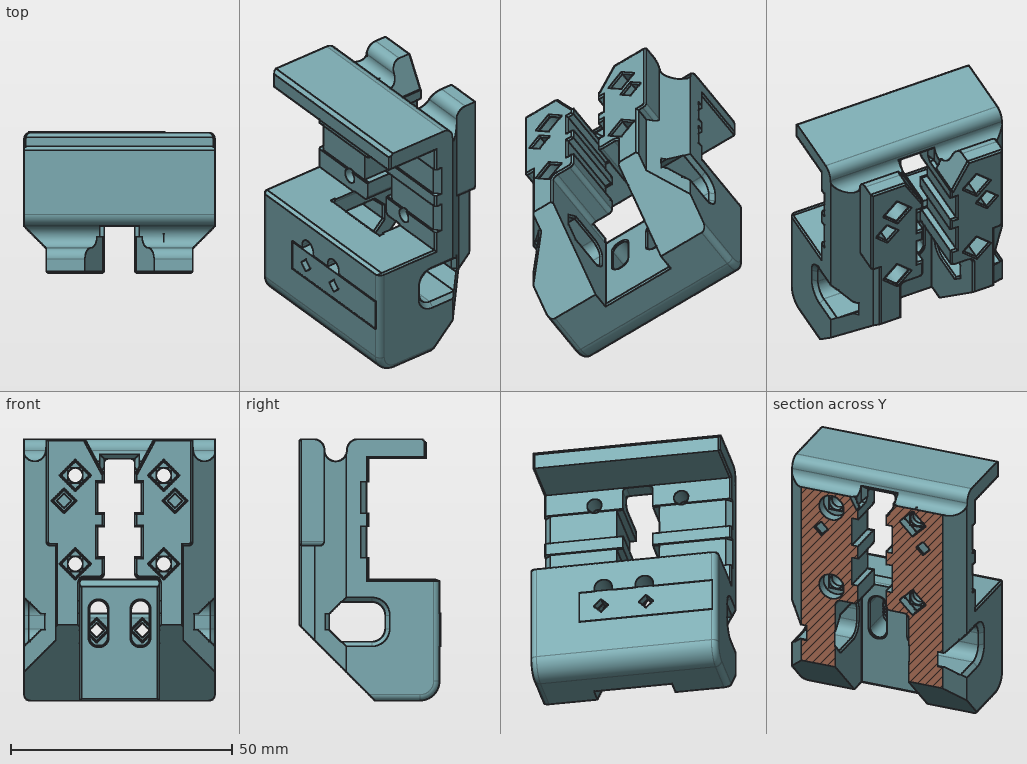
import cadquery as cq
import math

WIDTH = 43.2
HEIGHT = 59.15
HALF_WIDTH = WIDTH / 2
EDGE = 0.4

WALL_BACK = 15.7
BOX_BACK = 31.8
BOX_TOP = 27.45
BOX_CORNER = 4.55
BOX_ROUND = 1.4
BOX_TOP_BEVEL = 1.05
ARM_BACK = 28.7
ARM_BOTTOM = 54.8
ARM_BEVEL = 0.9
FOOT_SLOPE = 17.15
GROOVE_FRONT = 5.75
GROOVE_BACK = 10.75
GROOVE_RADIUS = (GROOVE_BACK - GROOVE_FRONT) / 2

FLANK_BACK = 10.65
UPPER_RAIL_HALF = 16.55
LOWER_RAIL_HALF = 14.45
RAIL_STEP_Z = 35.0
RAIL_STEP_ROUND = 1.0

WINDOW_HALF = 3.45
WINDOW_TOP = 54.7
WINDOW_ROUND = 0.8
WINDOW_FLARE = 1.05
WINDOW_FOOT_ROUND = 1.05
NOTCH_HALF = 4.9
NOTCH_HEIGHT = 6.75
NOTCH_MIDDLES = (35.9, 45.9)
STRAP_WIDTH = 7.1
STRAP_DEPTH = 0.4
STRAP_BEVEL = 1.35
VEE_TOP_HALF = 7.8
VEE_BOTTOM_HALF = 3.8
VEE_BOTTOM_Z = 51.65

RECESS_HALF = 9.0
RECESS_TOP = 27.75
RECESS_ROUND = 1.2
PLATE_FRONT = 20.7
PLATE_TOP = 26.15
PLATE_TOP_BEVEL = 1.2
SLOT_SPACING = 9.45
SLOT_DIAMETER = 4.1
SLOT_BOTTOM = 12.35
SLOT_TOP = 22.65
SLOT_BEVEL = 0.3

TUNNEL_FRONT = 6.8
TUNNEL_BACK = 19.4
TUNNEL_BOTTOM = 13.4
TUNNEL_TOP = 22.3
TUNNEL_BEVEL = 2.65
TUNNEL_ROUND = 2.95
TUNNEL_FLARE = 1.05
FLANK_LIP_FRONT = 5.9

BAR_LEFT = -20.5
BAR_RIGHT = 10.25
BAR_BOTTOM = 12.3
BAR_TOP = 19.75
BAR_FRONT = 28.4
BAR_BACK = 32.0
BAR_ROUND = 0.95
BAR_HOLE_SPACING = 10.35
BAR_HOLE_Z = 15.9

SCREW_SPACING = 20.0
SCREW_LOWER_Z = 30.95
SCREW_DIAMETER = 3.4
HEAD_DIAMETER = 6.0
SCREW_DIAMOND = 3.2
HEAD_DEPTH = 8.9
MOUTH_DEPTH = 0.6
WASHER_THICKNESS = 1.8
WASHER_SQUARE = 3.5
WASHER_SQUARE_DEPTH = 0.3

SMALL_DIAMOND = 2.4
INNER_DIAMOND = 1.65
BLIND_X = 12.55
BLIND_Z = 45.2
BLIND_DEPTH = 5.9
STEP_DEPTH = 1.2

SCREW_CENTRES = [
    (side * SCREW_SPACING / 2, z)
    for side in (-1, 1)
    for z in (SCREW_LOWER_Z, SCREW_LOWER_Z + SCREW_SPACING)
]


def box(x_range, y_range, z_range):
    """Axis-aligned block given by its limits."""
    sizes = [high - low for low, high in (x_range, y_range, z_range)]
    corner = (x_range[0], y_range[0], z_range[0])
    return cq.Workplane("XY").box(*sizes, centered=False).translate(corner)


def front_plane(y):
    """Workplane at depth y whose sketch runs in X and Z and extrudes backwards."""
    return cq.Workplane(cq.Plane(origin=(0, y, 0), xDir=(1, 0, 0), normal=(0, -1, 0)))


def diamond(centre, y, half_diagonal, depth):
    """Diamond prism running backwards from depth y."""
    x, z = centre
    points = [
        (x - half_diagonal, z),
        (x, z - half_diagonal),
        (x + half_diagonal, z),
        (x, z + half_diagonal),
    ]
    return front_plane(y).polyline(points).close().extrude(-depth)


def diamond_bevel(centre, y, half_diagonal):
    """Chamfer cutter for the mouth of a diamond hole, EDGE wider at its tips."""
    x, z = centre
    wide = (half_diagonal + EDGE) * math.sqrt(2)
    narrow = half_diagonal * math.sqrt(2)
    plane = cq.Plane(origin=(x, y, z), xDir=(1, 0, 1), normal=(0, 1, 0))
    return cq.Workplane(plane).rect(wide, wide).workplane(offset=EDGE).rect(narrow, narrow).loft()


def round_bore(centre, y, diameter, depth):
    """Cylinder running backwards from depth y."""
    return front_plane(y).center(*centre).circle(diameter / 2).extrude(-depth)


def stepped_diamond(centre, y, outer_depth, inner_depth):
    """Bevelled diamond pocket with a smaller diamond in its floor."""
    outer = diamond(centre, y, SMALL_DIAMOND, outer_depth)
    inner = diamond(centre, y, INNER_DIAMOND, outer_depth + inner_depth)
    return outer.union(inner).union(diamond_bevel(centre, y, SMALL_DIAMOND))


def side_profile():
    """Wall, arm and box as one outline extruded over the full width."""
    groove_middle = (GROOVE_BACK + GROOVE_FRONT) / 2
    groove_z = HEIGHT - GROOVE_RADIUS
    lip_front = GROOVE_FRONT - GROOVE_RADIUS
    arc_short = GROOVE_RADIUS * (1 - math.sqrt(0.5))
    corner_short = BOX_CORNER * (1 - math.sqrt(0.5))
    return (
        cq.Workplane("YZ")
        .moveTo(FOOT_SLOPE, 0)
        .lineTo(BOX_BACK - BOX_CORNER, 0)
        .threePointArc((BOX_BACK - corner_short, corner_short), (BOX_BACK, BOX_CORNER))
        .lineTo(BOX_BACK, BOX_TOP)
        .lineTo(WALL_BACK, BOX_TOP)
        .lineTo(WALL_BACK, ARM_BOTTOM)
        .lineTo(ARM_BACK, ARM_BOTTOM)
        .lineTo(ARM_BACK, HEIGHT - ARM_BEVEL)
        .lineTo(ARM_BACK - ARM_BEVEL, HEIGHT)
        .lineTo(GROOVE_BACK + GROOVE_RADIUS, HEIGHT)
        .threePointArc((GROOVE_BACK + arc_short, HEIGHT - arc_short), (GROOVE_BACK, groove_z))
        .threePointArc((groove_middle, HEIGHT - 2 * GROOVE_RADIUS), (GROOVE_FRONT, groove_z))
        .threePointArc((GROOVE_FRONT - arc_short, HEIGHT - arc_short), (lip_front, HEIGHT))
        .lineTo(0, HEIGHT)
        .lineTo(0, FOOT_SLOPE)
        .close()
        .extrude(HALF_WIDTH, both=True)
    )


def edges_within(body, x_limit, y_range, z_range):
    """Edges whose centres lie within x_limit of the middle and inside the Y and Z ranges."""
    low = (-x_limit, y_range[0], z_range[0])
    high = (x_limit, y_range[1], z_range[1])
    return body.edges(cq.selectors.BoxSelector(low, high))


def soften_side_edges(body):
    """Round the box's outer side edges and chamfer the arm, wall and box-top edges."""
    back_edges = edges_within(
        body.faces("<X or >X"), WIDTH, (BOX_BACK - BOX_CORNER / 2, BOX_BACK + EDGE), (-EDGE, BOX_TOP - EDGE)
    )
    bottom_edges = edges_within(
        body.faces("<X or >X"), WIDTH, (FOOT_SLOPE, BOX_BACK - BOX_CORNER), (-EDGE, EDGE)
    )
    body = body.newObject(back_edges.vals() + bottom_edges.vals()).fillet(BOX_ROUND)
    arm_edges = edges_within(
        body.faces("<X or >X"),
        WIDTH,
        (WALL_BACK - EDGE, ARM_BACK + EDGE),
        (BOX_TOP + EDGE, HEIGHT - ARM_BEVEL),
    )
    body = arm_edges.chamfer(EDGE)
    box_top_edges = edges_within(
        body.faces("<X or >X"), WIDTH, (WALL_BACK, BOX_BACK), (BOX_TOP - EDGE, BOX_TOP + EDGE)
    )
    body = box_top_edges.chamfer(EDGE)
    top_bevel = (
        cq.Workplane("YZ")
        .polyline([(BOX_BACK, BOX_TOP - EDGE), (BOX_BACK, BOX_TOP), (BOX_BACK - BOX_TOP_BEVEL, BOX_TOP)])
        .close()
        .extrude(HALF_WIDTH, both=True)
    )
    return body.cut(top_bevel)


def flank_cutter(rail_half, z_top, side):
    """Removes one front corner outside a rail, leaving a 45 degree flank."""
    flank_front = FLANK_BACK - (HALF_WIDTH - rail_half)
    points = [
        (side * rail_half, 0),
        (side * rail_half, flank_front),
        (side * HALF_WIDTH, FLANK_BACK),
        (side * HALF_WIDTH, 0),
    ]
    return cq.Workplane("XY").polyline(points).close().extrude(z_top)


def cut_flanks(body):
    """Shape both rails to their upper and lower widths."""
    for side in (-1, 1):
        body = body.cut(flank_cutter(UPPER_RAIL_HALF, HEIGHT, side))
        body = body.cut(flank_cutter(LOWER_RAIL_HALF, RAIL_STEP_Z, side))
    step_edges = edges_within(
        body.edges("|Y"), WIDTH, (0, GROOVE_FRONT), (RAIL_STEP_Z - EDGE, RAIL_STEP_Z + EDGE)
    )
    outer_edges = [edge for edge in step_edges.vals() if abs(edge.Center().x) > UPPER_RAIL_HALF - EDGE]
    return body.newObject(outer_edges).fillet(RAIL_STEP_ROUND)


def cut_window(body):
    """Open the window with its strap notches, the vee above it and the recess below it."""
    window_range = (0, WALL_BACK)
    window = box((-WINDOW_HALF, WINDOW_HALF), window_range, (BOX_TOP, WINDOW_TOP))
    window = window.edges("|Y and >Z").fillet(WINDOW_ROUND)
    for middle in NOTCH_MIDDLES:
        notch_range = (middle - NOTCH_HEIGHT / 2, middle + NOTCH_HEIGHT / 2)
        window = window.union(box((-NOTCH_HALF, NOTCH_HALF), window_range, notch_range))
    recess = box((-RECESS_HALF, RECESS_HALF), (0, PLATE_FRONT), (0, RECESS_TOP))
    recess = recess.edges("|Y and >Z").fillet(RECESS_ROUND)
    vee_points = [
        (-VEE_TOP_HALF, HEIGHT),
        (-VEE_BOTTOM_HALF, VEE_BOTTOM_Z),
        (VEE_BOTTOM_HALF, VEE_BOTTOM_Z),
        (VEE_TOP_HALF, HEIGHT),
    ]
    vee_depth = (GROOVE_FRONT + GROOVE_BACK) / 2
    vee = front_plane(0).polyline(vee_points).close().extrude(-vee_depth)
    flare_half = WINDOW_HALF + WINDOW_FLARE
    flare_top = WINDOW_TOP + WINDOW_FLARE
    flare_sketch = (
        front_plane(GROOVE_BACK)
        .center(0, (VEE_BOTTOM_Z + flare_top) / 2)
        .rect(2 * flare_half, flare_top - VEE_BOTTOM_Z)
    )
    flare = flare_sketch.extrude(-WINDOW_FLARE, taper=45)
    mouth = box((-flare_half, flare_half), (vee_depth, GROOVE_BACK), (VEE_BOTTOM_Z, flare_top))
    body = body.cut(window).cut(recess).cut(vee).cut(flare).cut(mouth)
    foot_edges = edges_within(
        body.edges("|Y"), WINDOW_HALF + EDGE, (0, WALL_BACK), (RECESS_TOP - EDGE, RECESS_TOP + EDGE)
    )
    body = foot_edges.fillet(WINDOW_FOOT_ROUND)
    front_edges = edges_within(body.faces("<Y"), WIDTH, (-EDGE, EDGE), (FOOT_SLOPE + EDGE, HEIGHT + EDGE))
    return front_edges.chamfer(EDGE)


def cut_strap_grooves(body):
    """Shallow bands across the wall's back, bevelled towards the sides."""
    floor = WALL_BACK - STRAP_DEPTH
    points = [
        (-HALF_WIDTH, WALL_BACK),
        (-HALF_WIDTH, floor - STRAP_BEVEL),
        (STRAP_BEVEL - HALF_WIDTH, floor),
        (HALF_WIDTH - STRAP_BEVEL, floor),
        (HALF_WIDTH, floor - STRAP_BEVEL),
        (HALF_WIDTH, WALL_BACK),
    ]
    for middle in NOTCH_MIDDLES:
        sketch = cq.Workplane("XY", origin=(0, 0, middle)).polyline(points).close()
        band = sketch.extrude(STRAP_WIDTH / 2, both=True)
        body = body.cut(band)
    return body


def cut_plate(body):
    """Bevel the plate's four edges and cut its two vertical slots."""
    bevel = (
        cq.Workplane("YZ")
        .polyline([
            (PLATE_FRONT, PLATE_TOP - EDGE),
            (PLATE_FRONT + EDGE, PLATE_TOP),
            (PLATE_FRONT + PLATE_TOP_BEVEL, BOX_TOP),
            (PLATE_FRONT, BOX_TOP),
        ])
        .close()
        .extrude(RECESS_HALF, both=True)
    )
    bottom_bevel = (
        cq.Workplane("YZ")
        .polyline([(PLATE_FRONT, 0), (PLATE_FRONT, EDGE), (PLATE_FRONT + EDGE, 0)])
        .close()
        .extrude(RECESS_HALF, both=True)
    )
    body = body.cut(bevel).cut(bottom_bevel)
    for side in (-1, 1):
        groove_points = [
            (side * RECESS_HALF, PLATE_FRONT),
            (side * RECESS_HALF, PLATE_FRONT + EDGE),
            (side * (RECESS_HALF - EDGE), PLATE_FRONT),
        ]
        body = body.cut(cq.Workplane("XY").polyline(groove_points).close().extrude(PLATE_TOP))
    slot_z = (SLOT_TOP + SLOT_BOTTOM) / 2
    length = SLOT_TOP - SLOT_BOTTOM
    for side in (-1, 1):
        sketch = front_plane(PLATE_FRONT).center(side * SLOT_SPACING / 2, slot_z)
        body = body.cut(sketch.slot2D(length, SLOT_DIAMETER, 90).extrude(PLATE_FRONT - BOX_BACK))
        mouth = sketch.slot2D(length + 2 * SLOT_BEVEL, SLOT_DIAMETER + 2 * SLOT_BEVEL, 90)
        body = body.cut(mouth.extrude(-SLOT_BEVEL, taper=45))
    return body


def tunnel_outline(x, margin):
    """Tunnel outline at position x, grown by a margin: bevelled in front and rounded behind."""
    front = TUNNEL_FRONT - margin
    back = TUNNEL_BACK + margin
    bottom = TUNNEL_BOTTOM - margin
    top = TUNNEL_TOP + margin
    bevel = TUNNEL_BEVEL + margin * (2 - math.sqrt(2))
    radius = TUNNEL_ROUND + margin
    short = radius * (1 - math.sqrt(0.5))
    return (
        cq.Workplane("YZ", origin=(x, 0, 0))
        .moveTo(front, bottom + bevel)
        .lineTo(front + bevel, bottom)
        .lineTo(back - radius, bottom)
        .threePointArc((back - short, bottom + short), (back, bottom + radius))
        .lineTo(back, top - radius)
        .threePointArc((back - short, top - short), (back - radius, top))
        .lineTo(front + bevel, top)
        .lineTo(front, top - bevel)
        .close()
    )


def cut_tunnel(body):
    """Cross tunnel between the two sides, flared at its outer and inner ends."""
    body = body.cut(tunnel_outline(0, 0).extrude(HALF_WIDTH, both=True))
    left_flare = tunnel_outline(-HALF_WIDTH, TUNNEL_FLARE).extrude(TUNNEL_FLARE, taper=45)
    right_inner_flare = tunnel_outline(RECESS_HALF, EDGE).extrude(EDGE, taper=45)
    for flare in (left_flare, right_inner_flare):
        body = body.cut(flare).cut(flare.mirror("YZ"))
    lip_depth = TUNNEL_FRONT - FLANK_LIP_FRONT
    lip_x = HALF_WIDTH - (FLANK_BACK - FLANK_LIP_FRONT)
    lip_points = [
        (lip_x, FLANK_LIP_FRONT),
        (lip_x + lip_depth, TUNNEL_FRONT),
        (lip_x - lip_depth, TUNNEL_FRONT),
    ]
    lip = (
        cq.Workplane("XY", origin=(0, 0, TUNNEL_BOTTOM + TUNNEL_BEVEL))
        .polyline(lip_points)
        .close()
        .extrude(TUNNEL_TOP - TUNNEL_BOTTOM - 2 * TUNNEL_BEVEL)
    )
    return body.cut(lip).cut(lip.mirror("YZ"))


def add_bar(body):
    """Bar across the back of the box, closing the lower part of the slots."""
    bar = box((BAR_LEFT, BAR_RIGHT), (BAR_FRONT, BAR_BACK), (BAR_BOTTOM, BAR_TOP))
    bar = bar.edges("|X and <Y and >Z").fillet(BAR_ROUND)
    bar = bar.edges("|X and <Y and <Z").chamfer(SLOT_BEVEL)
    body = body.union(bar)
    for side in (-1, 1):
        centre = (side * BAR_HOLE_SPACING / 2, BAR_HOLE_Z)
        body = body.cut(stepped_diamond(centre, BAR_FRONT, STEP_DEPTH, BAR_BACK - BAR_FRONT))
    return body


def cut_screw_holes(body):
    """Screw holes with round washer seats; diamond mouths are shallow on the left, deep on the right."""
    for centre in SCREW_CENTRES:
        on_left = centre[0] < 0
        mouth_depth = MOUTH_DEPTH if on_left else HEAD_DEPTH
        seat_depth = HEAD_DEPTH + WASHER_THICKNESS - mouth_depth
        body = body.cut(diamond(centre, 0, SCREW_DIAMOND, mouth_depth))
        body = body.cut(diamond_bevel(centre, 0, SCREW_DIAMOND))
        body = body.cut(round_bore(centre, mouth_depth, HEAD_DIAMETER, seat_depth))
        body = body.cut(round_bore(centre, 0, SCREW_DIAMETER, WALL_BACK))
    return body


def cut_blind_diamonds(body):
    """Two small stepped diamond pockets in the rail fronts."""
    for side in (-1, 1):
        body = body.cut(stepped_diamond((side * BLIND_X, BLIND_Z), 0, BLIND_DEPTH, STEP_DEPTH))
    return body


def make_housing():
    """The whole housing, with seats ready for the washers."""
    body = soften_side_edges(side_profile())
    body = cut_flanks(body)
    body = cut_window(body)
    body = cut_strap_grooves(body)
    body = cut_plate(body)
    body = cut_tunnel(body)
    body = add_bar(body)
    body = cut_screw_holes(body)
    return cut_blind_diamonds(body)


def make_washer(centre):
    """Round washer with a shallow square recess around its bore."""
    washer = round_bore(centre, HEAD_DEPTH, HEAD_DIAMETER, WASHER_THICKNESS)
    square = front_plane(HEAD_DEPTH).center(*centre).rect(WASHER_SQUARE, WASHER_SQUARE)
    bore = round_bore(centre, HEAD_DEPTH, SCREW_DIAMETER, WASHER_THICKNESS)
    return washer.cut(square.extrude(-WASHER_SQUARE_DEPTH)).cut(bore)


housing = make_housing()
washers = [make_washer(centre) for centre in SCREW_CENTRES]
result = cq.Compound.makeCompound([housing.val(), *[washer.val() for washer in washers]])